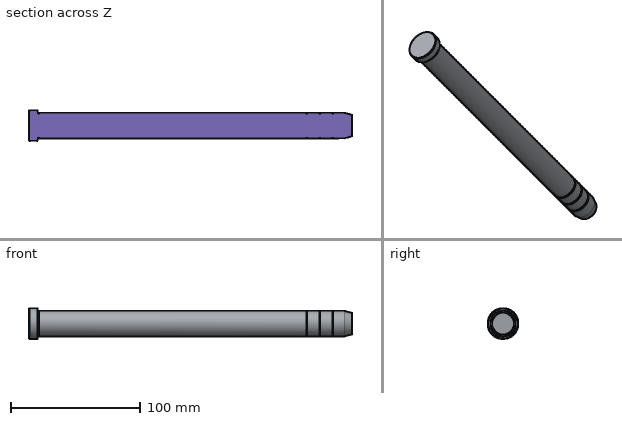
import cadquery as cq
import math

total_length = 250.0
head_diameter = 24.0
head_length = 7.0
head_chamfer = 0.5
shank_diameter = 20.0

groove_width = 1.0
tip_groove_count = 3
tip_groove_pitch = 10.0
first_tip_groove_start = 214.5

lead_length = 6.0
lead_angle = 15.0

shank_radius = shank_diameter / 2
lead_start = total_length - lead_length
tip_radius = shank_radius - lead_length * math.tan(math.radians(lead_angle))


def rod(start, end, diameter):
    """Solid cylinder along the X axis between two X positions."""
    return cq.Workplane("YZ", origin=(start, 0, 0)).circle(diameter / 2).extrude(end - start)


def chamfered_head():
    """Disc-shaped head with both rims chamfered."""
    return rod(0, head_length, head_diameter).faces("<X or >X").chamfer(head_chamfer)


def tapered_lead():
    """Cone frustum that narrows from the shank to the tip face."""
    profile = [
        (lead_start, 0),
        (lead_start, shank_radius),
        (total_length, tip_radius),
        (total_length, 0),
    ]
    return cq.Workplane("XY").polyline(profile).close().revolve(360, (0, 0, 0), (1, 0, 0))


def groove_cutter(start):
    """Torus centred on the shank surface, cutting a half-round groove from the given X."""
    section_radius = groove_width / 2
    center = cq.Vector(start + section_radius, 0, 0)
    axis = cq.Vector(1, 0, 0)
    return cq.Workplane(cq.Solid.makeTorus(shank_radius, section_radius, center, axis))


shank = rod(head_length, lead_start, shank_diameter)
pin = chamfered_head().union(shank).union(tapered_lead())

tip_groove_starts = [first_tip_groove_start + i * tip_groove_pitch for i in range(tip_groove_count)]
for groove_start in [head_length] + tip_groove_starts:
    pin = pin.cut(groove_cutter(groove_start))

result = pin